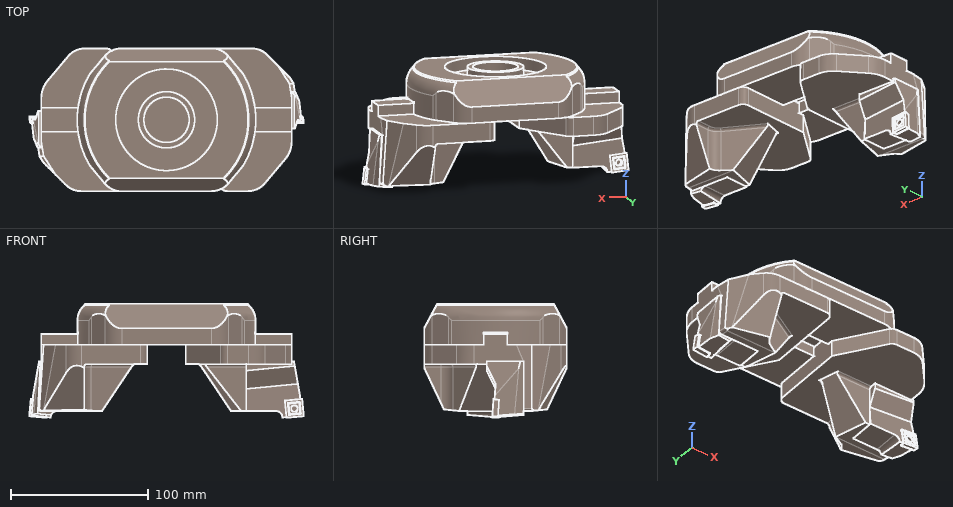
import cadquery as cq
import math


BIG = 399.8

body_height = 30.0
body_radius = 65.0
body_half_width = 52.0
flank_angle = 50.0
body_flank_distance = 64.2
body_corner_radius = 16.0
shoulder_start = 18.0
shoulder_radius = 14.0
shoulder_end = 28.8
top_radius = 59.4
bevel_start = 12.0
bevel_top_half_width = 42.4
recess_diameter = 74.0
recess_depth = 9.0
ring_outer_diameter = 41.0
ring_inner_diameter = 33.0
key_width = 17.4
slot_height = 9.0

key_height = 8.0
plate_thickness = 14.0
slide_inner_x = 14.0
slide_outer_x = 91.2
slide_flank_distance = 84.5
inner_slant_end_y = -13.4
inner_slant_angle = 55.0
inner_slant_radius = 6.0
inner_corner_radius = 5.0
front_corner_radius = 16.0
outer_corner_radius = 20.0
back_flat_sum = 120.5
back_corner_radius = 16.0
relief_edge_y = 26.4

leg_bottom = -48.2
leg_back_x = 60.0
leg_wall_angle = 30.0
leg_wall_offset = -0.5
leg_corner_radius = 10.0
leg_root_radius = 2.0
leg_tip_radius = 2.0
leg_relief_angle = 6.0
leg_inner_top = (24.0, 13.2, -14.0)
leg_inner_back = (47.0, 26.2, -48.2)
leg_inner_front = (54.2, 0.5, -48.2)
back_slope_top = (60.0, 52.0, -16.5)
back_slope_low = (60.0, 37.5, -47.0)
back_slope_outer = (89.8, 31.2, -47.4)
relief_top_back = (81.0, 39.5, 0.0)
relief_top_mid = (89.4, relief_edge_y, 0.0)
relief_top_front = (slide_outer_x, 15.2, 0.0)
relief_bottom_mid = (92.5, relief_edge_y, -48.0)

cartridge_inner_x = 58.2
cartridge_front_y = -6.4
cartridge_back_y = 20.4
cartridge_top = -12.0
cartridge_outer_x = 92.8
cartridge_lean = 10.0
flank_top = (93.8, 16.5, -18.4)
flank_normal = (1.0, 0.11, 0.08)
back_flank_normal = (1.0, 0.44, 0.05)
foot_start_x = 79.5
foot_radius = 4.5
foot_bottom = -52.8
foot_relief_angle = 5.0
step_top = -18.8
step_bottom = -32.0
overall_half_length = 100.0
overall_bottom = -53.2

insert_side = 12.8
insert_thickness = 4.2
insert_relief = 7.0
insert_stand_out = 1.0
insert_hole_diameter = 4.8
chip_groove_side = 9.0
chip_groove_depth = 0.4
chip_groove_taper = 60.0
tilt = 5.5
rake = 4.0


def cosd(angle):
    return math.cos(math.radians(angle))


def sind(angle):
    return math.sin(math.radians(angle))


def tand(angle):
    return math.tan(math.radians(angle))


def beyond_plane(point, outward):
    """Block that fills the space on the outward side of a plane."""
    return cq.Workplane(cq.Plane(origin=point, normal=outward)).rect(BIG, BIG).extrude(BIG)


def beyond_points(a, b, c):
    """Block on one side of three points that run anticlockwise when seen from that side."""
    normal = (cq.Vector(*b) - cq.Vector(*a)).cross(cq.Vector(*c) - cq.Vector(*a))
    return beyond_plane(a, normal.toTuple())


def block(x0, x1, y0, y1, z0, z1):
    return cq.Workplane("XY").box(x1 - x0, y1 - y0, z1 - z0, centered=False).translate((x0, y0, z0))


def upright_edge(solid, x, y):
    """The vertical edge nearest to a plan position."""
    middle = solid.val().BoundingBox().center.z
    return solid.edges("|Z").edges(cq.selectors.NearestToPointSelector((x, y, middle)))


def flank_x(distance, y):
    """X at height y on a corner flat at the given distance from the Z axis."""
    return (distance - y * cosd(flank_angle)) / sind(flank_angle)


def shoulder_ring():
    """Ring of material that is turned away to round the top shoulder."""
    arc_centre_x = body_radius - shoulder_radius
    end_rise = shoulder_end - shoulder_start
    mid_angle = math.degrees(math.asin(end_rise / shoulder_radius)) / 2
    arc_mid = (
        arc_centre_x + shoulder_radius * cosd(mid_angle),
        shoulder_start + shoulder_radius * sind(mid_angle),
    )
    arc_end_x = arc_centre_x + math.sqrt(shoulder_radius**2 - end_rise**2)
    clear_x = body_radius + shoulder_radius
    return (
        cq.Workplane("XZ")
        .moveTo(body_radius, shoulder_start)
        .threePointArc(arc_mid, (arc_end_x, shoulder_end))
        .lineTo(top_radius, body_height)
        .lineTo(clear_x, body_height)
        .lineTo(clear_x, shoulder_start)
        .close()
        .revolve(360, (0, 0, 0), (0, 1, 0))
    )


def make_body():
    corner_x = flank_x(body_flank_distance, body_half_width)
    side_x = flank_x(body_flank_distance, 0)
    outline = [
        (side_x, 0),
        (corner_x, body_half_width),
        (-corner_x, body_half_width),
        (-side_x, 0),
        (-corner_x, -body_half_width),
        (corner_x, -body_half_width),
    ]
    prism = cq.Workplane("XY").polyline(outline).close().extrude(body_height)
    for x in (corner_x, -corner_x):
        for y in (body_half_width, -body_half_width):
            prism = upright_edge(prism, x, y).fillet(body_corner_radius)
    cylinder = cq.Workplane("XY").circle(body_radius).extrude(body_height)
    body = prism.intersect(cylinder)

    meet_angle = 90 - flank_angle + math.degrees(-math.acos(body_flank_distance / body_radius))
    meet_x = body_radius * cosd(meet_angle)
    meet_y = body_radius * sind(meet_angle)
    for x in (meet_x, -meet_x):
        for y in (meet_y, -meet_y):
            body = upright_edge(body, x, y).fillet(body_corner_radius)
    body = body.cut(shoulder_ring())

    bevel_run = body_half_width - bevel_top_half_width
    bevel_rise = body_height - bevel_start
    for side in (1, -1):
        start = (0, side * body_half_width, bevel_start)
        body = body.cut(beyond_plane(start, (0, side * bevel_rise, bevel_run)))

    ring_groove = (
        cq.Workplane("XY")
        .workplane(offset=body_height - recess_depth)
        .circle(recess_diameter / 2)
        .circle(ring_outer_diameter / 2)
        .extrude(recess_depth)
    )
    bore = (
        cq.Workplane("XY")
        .workplane(offset=body_height - recess_depth)
        .circle(ring_inner_diameter / 2)
        .extrude(recess_depth)
    )
    key_slot = block(-body_radius, body_radius, -key_width / 2, key_width / 2, 0, slot_height)
    return body.cut(ring_groove).cut(bore).cut(key_slot)


def plate_blank():
    """Slide plate before the outer relief planes are cut."""
    front_y = -body_half_width
    slant_end_x = slide_inner_x + (inner_slant_end_y - front_y) / tand(inner_slant_angle)
    front_x = flank_x(slide_flank_distance, body_half_width)
    outer_y = -(slide_flank_distance - slide_outer_x * sind(flank_angle)) / cosd(flank_angle)
    back_x = back_flat_sum - body_half_width
    outline = [
        (slide_inner_x, inner_slant_end_y),
        (slant_end_x, front_y),
        (front_x, front_y),
        (slide_outer_x, outer_y),
        (slide_outer_x, back_flat_sum - slide_outer_x),
        (back_x, body_half_width),
        (slide_inner_x, body_half_width),
    ]
    plate = cq.Workplane("XY").polyline(outline).close().extrude(-plate_thickness)
    plate = upright_edge(plate, slant_end_x, front_y).fillet(inner_slant_radius)
    plate = upright_edge(plate, front_x, front_y).fillet(front_corner_radius)
    plate = upright_edge(plate, slide_outer_x, outer_y).fillet(outer_corner_radius)
    plate = upright_edge(plate, back_x, body_half_width).fillet(back_corner_radius)
    return upright_edge(plate, slide_inner_x, body_half_width).fillet(inner_corner_radius)


def leg_blank():
    """Leg prism before its inner end and the outer relief planes are cut."""
    back_x = back_flat_sum - body_half_width
    wall_y = leg_wall_offset + leg_back_x * tand(leg_wall_angle)
    wall_start_y = leg_wall_offset + slide_inner_x * tand(leg_wall_angle)
    outer_x = overall_half_length
    outline = [
        (slide_inner_x, 0),
        (outer_x, 0),
        (outer_x, back_flat_sum - outer_x),
        (back_x, body_half_width),
        (leg_back_x, body_half_width),
        (leg_back_x, wall_y),
        (slide_inner_x, wall_start_y),
    ]
    leg = cq.Workplane("XY").polyline(outline).close().extrude(leg_bottom)
    leg = upright_edge(leg, leg_back_x, wall_y).fillet(leg_corner_radius)
    return upright_edge(leg, back_x, body_half_width).fillet(back_corner_radius)


def root_edge(solid, x, y):
    """The edge where the leg meets the plate, nearest to a plan position."""
    return solid.edges(cq.selectors.NearestToPointSelector((x, y, -plate_thickness)))


def insert_frame(part):
    """Lean a part by the rake and the tilt, then move its origin to the centre of the insert face."""
    leaned = part.rotate((0, 0, 0), (1, 0, 0), -rake).rotate((0, 0, 0), (0, 1, 0), -tilt)
    return leaned.translate(insert_centre())


def insert_centre():
    reach = insert_side / 2 * (cosd(tilt) + sind(tilt))
    z = overall_bottom + reach
    y = (step_bottom - z) * -tand(rake) - insert_stand_out
    return (overall_half_length - reach, y, z)


def insert_blank():
    """Insert without its hole, with its face leaning toward -Y."""
    blank = (
        cq.Workplane("XZ")
        .rect(insert_side, insert_side)
        .extrude(-insert_thickness, taper=insert_relief)
    )
    return insert_frame(blank)


def make_slide():
    slide = plate_blank().union(leg_blank())

    wall_mid_x = (slide_inner_x + leg_back_x) / 2
    wall_mid_y = leg_wall_offset + wall_mid_x * tand(leg_wall_angle)
    slide = root_edge(slide, wall_mid_x, wall_mid_y).fillet(leg_root_radius)
    slide = root_edge(slide, wall_mid_x, 0).fillet(leg_root_radius)

    inner_slope = beyond_points(leg_inner_top, leg_inner_back, leg_inner_front)
    below_plate = block(-BIG, BIG, -BIG, BIG, -BIG, -plate_thickness)
    slide = slide.cut(inner_slope.intersect(below_plate))

    slide = slide.cut(beyond_points(relief_top_back, relief_top_mid, relief_bottom_mid))
    slide = slide.cut(beyond_points(relief_top_mid, relief_top_front, relief_bottom_mid))
    slide = slide.cut(block(slide_outer_x, BIG, -BIG, cartridge_back_y, leg_bottom, 0))

    slide = slide.cut(beyond_points(back_slope_top, back_slope_outer, back_slope_low))
    relief_start = (0, relief_edge_y, leg_bottom)
    slide = slide.cut(beyond_plane(relief_start, (0, sind(leg_relief_angle), -cosd(leg_relief_angle))))

    key = block(slide_inner_x, slide_outer_x, -key_width / 2, key_width / 2, 0, key_height)
    cartridge_seat = block(
        cartridge_inner_x, BIG, cartridge_front_y, cartridge_back_y, leg_bottom - 2, cartridge_top
    )
    slide = slide.union(key).cut(cartridge_seat)

    strip_mid_y = (cartridge_back_y + relief_edge_y) / 2
    tip = cq.selectors.NearestToPointSelector((relief_bottom_mid[0], strip_mid_y, leg_bottom))
    return slide.edges(tip).fillet(leg_tip_radius)


def make_cartridge():
    far_x = overall_half_length + 2
    foot_end_x = foot_start_x + foot_radius
    arc_mid = (foot_start_x + foot_radius * sind(45), leg_bottom - foot_radius * (1 - cosd(45)))
    cartridge = (
        cq.Workplane("XZ", origin=(0, cartridge_back_y, 0))
        .moveTo(cartridge_inner_x, cartridge_top)
        .lineTo(cartridge_inner_x, leg_bottom)
        .lineTo(foot_start_x, leg_bottom)
        .threePointArc(arc_mid, (foot_end_x, leg_bottom - foot_radius))
        .lineTo(foot_end_x, overall_bottom)
        .lineTo(far_x, overall_bottom)
        .lineTo(far_x, cartridge_top)
        .close()
        .extrude(cartridge_back_y - cartridge_front_y)
    )

    top_edge = (cartridge_outer_x, 0, cartridge_top)
    cartridge = cartridge.cut(beyond_plane(top_edge, (cosd(cartridge_lean), 0, sind(cartridge_lean))))
    cartridge = cartridge.cut(beyond_plane(flank_top, flank_normal))
    cartridge = cartridge.cut(beyond_plane(flank_top, back_flank_normal))

    downward = (tand(tilt), tand(foot_relief_angle), -1)
    foot_underside = beyond_plane((foot_end_x, 0, foot_bottom), downward)
    below_leg = block(foot_start_x, BIG, -BIG, BIG, -BIG, leg_bottom)
    cartridge = cartridge.cut(foot_underside.intersect(below_leg))

    depth = BIG / 2
    step = (
        cq.Workplane("YZ")
        .moveTo(cartridge_front_y, step_top - step_bottom)
        .lineTo(0, 0)
        .lineTo(-depth * tand(rake), -depth)
        .lineTo(-depth, -depth)
        .lineTo(-depth, step_top - step_bottom)
        .close()
        .extrude(depth, both=True)
        .rotate((0, 0, 0), (0, 1, 0), -tilt)
        .translate((cartridge_inner_x, 0, step_bottom))
    )
    return cartridge.cut(step).cut(insert_blank())


def make_insert():
    hole = cq.Workplane("XZ").circle(insert_hole_diameter / 2).extrude(-insert_thickness)
    groove = (
        cq.Workplane("XZ")
        .rect(chip_groove_side, chip_groove_side)
        .extrude(-chip_groove_depth, taper=chip_groove_taper)
    )
    return insert_blank().cut(insert_frame(hole)).cut(insert_frame(groove))


def both_sides(part):
    """The part and its copy half a turn about Z."""
    return [part.rotate((0, 0, 0), (0, 0, 1), turn).val() for turn in (0, 180)]


body = make_body()
slides = both_sides(make_slide())
cartridges = both_sides(make_cartridge())
inserts = both_sides(make_insert())
result = cq.Compound.makeCompound([body.val(), *slides, *cartridges, *inserts])